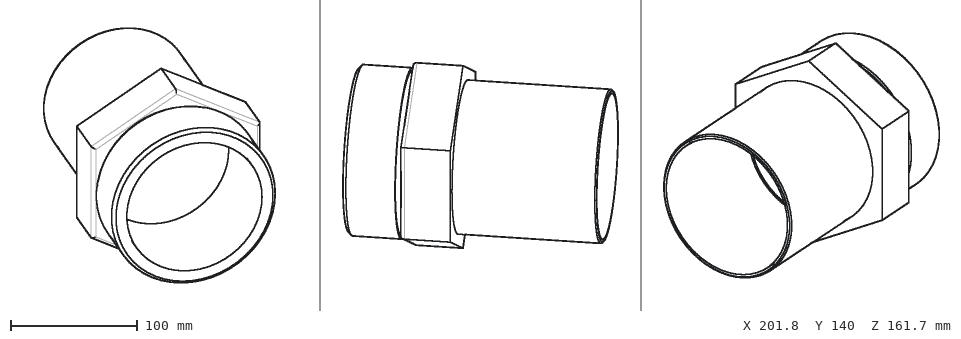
import cadquery as cq
import math

total_length = 201.8
hex_start = 115.2
hex_shoulder = 152.2
hex_end = 155.2
neck_end = 159.8

pipe_radius = 61.2
pipe_bore_radius = 58.0
thread_bore_radius = 56.1
neck_radius = 65.5
thread_radius = 68.0
hex_across_flats = 140.0

pipe_chamfer = 1.2
thread_chamfer = 2.8
hex_rounding = hex_end - hex_shoulder


def cylinder(radius, start, end):
    return cq.Workplane("YZ", origin=(start, 0, 0)).circle(radius).extrude(end - start)


def hexagon(across_flats, start, end):
    """Hexagonal prism with corners pointing along +Z and -Z."""
    corner_diameter = across_flats / math.cos(math.pi / 6)
    plane = cq.Workplane("YZ", origin=(start, 0, 0))
    return plane.transformed(rotate=(0, 0, 90)).polygon(6, corner_diameter).extrude(end - start)


pipe = cylinder(pipe_radius, 0, hex_start).faces("<X").chamfer(pipe_chamfer)

wrench_hex = hexagon(hex_across_flats, hex_start, hex_end)
wrench_hex = wrench_hex.faces(">X").edges().fillet(hex_rounding)

neck = cylinder(neck_radius, hex_end, neck_end)
thread = cylinder(thread_radius, neck_end, total_length).faces(">X").chamfer(thread_chamfer)

pipe_bore = cylinder(pipe_bore_radius, 0, hex_start)
thread_bore = cylinder(thread_bore_radius, hex_start, total_length)

body = pipe.union(wrench_hex).union(neck).union(thread)
result = body.cut(pipe_bore).cut(thread_bore)